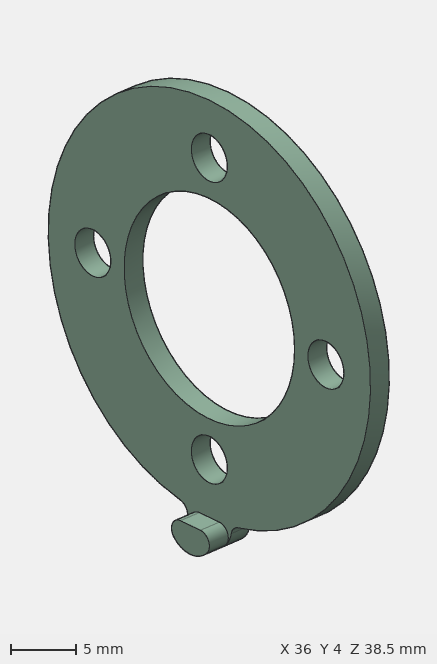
import cadquery as cq

length_z = 38.5
disc_diameter = 36.0
bore_diameter = 19.0
hole_diameter = 4.0
hole_count = 4
hole_circle_radius = 13.0
plate_thickness = 2.0
pin_length = 2.0
blend_radius = 1.0

disc_radius = disc_diameter / 2
tab_radius = length_z - disc_diameter
tab_center_z = -disc_radius


def cylinder(x, z, radius, depth):
    """Cylinder along Y, from the front face at Y = 0 back to Y = depth."""
    return cq.Workplane("XZ").center(x, z).circle(radius).extrude(-depth)


def make_plate():
    """Disc with a round tab, blended where the tab meets the rim."""
    disc = cylinder(0, 0, disc_radius, plate_thickness)
    tab = cylinder(0, tab_center_z, tab_radius, plate_thickness)
    plate = disc.union(tab)
    corner_box = cq.selectors.BoxSelector(
        (-2 * tab_radius, 0, tab_center_z),
        (2 * tab_radius, plate_thickness, tab_center_z + tab_radius / 2),
    )
    return plate.edges("|Y").edges(corner_box).fillet(blend_radius)


def make_pin():
    """Half-round pin in front of the tab, flat on top with rounded corners."""
    pin = (
        cq.Workplane("XZ")
        .moveTo(-tab_radius, tab_center_z)
        .threePointArc((0, tab_center_z - tab_radius), (tab_radius, tab_center_z))
        .close()
        .extrude(pin_length)
    )
    return pin.edges("|Y").fillet(blend_radius)


def cut_openings(body):
    """Central bore and the ring of bolt holes, all through the plate."""
    body = body.cut(cylinder(0, 0, bore_diameter / 2, plate_thickness))
    holes = (
        cq.Workplane("XZ")
        .polarArray(hole_circle_radius, 0, 360, hole_count)
        .circle(hole_diameter / 2)
        .extrude(-plate_thickness)
    )
    return body.cut(holes)


result = cut_openings(make_plate().union(make_pin()))